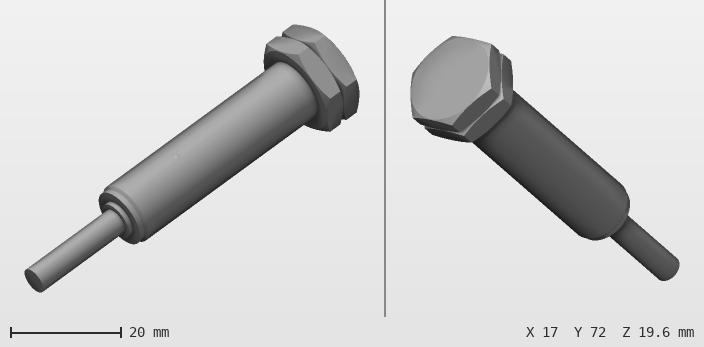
import cadquery as cq
import math

total_length = 72.0

nut_count = 2
nut_pair_length = 8.0
nut_width = nut_pair_length / nut_count
nut_across_flats = 17.0
nut_across_corners = nut_across_flats / math.cos(math.radians(30))
nut_face_radius = 8.35
nut_chamfer_angle = 27.0

body_radius = 6.01
end_ring_radius = 5.55
end_ring_length = 1.1
shoulder_length = 0.5
collar_radius = 3.6
collar_length = 0.9
cable_radius = 2.5
cable_length = 20.0

indicator_diameter = 1.0
indicator_rise = 0.1
indicator_from_cable_end = 35.1

back_y = total_length / 2
cable_end_y = -total_length / 2
collar_y = cable_end_y + cable_length
end_ring_y = collar_y + collar_length
shoulder_y = end_ring_y + end_ring_length
body_y = shoulder_y + shoulder_length


def make_barrel():
    """Cable, collar, end ring and body as one revolved profile."""
    return (
        cq.Workplane("XY")
        .moveTo(0, cable_end_y)
        .lineTo(cable_radius, cable_end_y)
        .lineTo(cable_radius, collar_y)
        .lineTo(collar_radius, collar_y)
        .lineTo(collar_radius, end_ring_y)
        .lineTo(end_ring_radius, end_ring_y)
        .lineTo(end_ring_radius, shoulder_y)
        .lineTo(body_radius, body_y)
        .lineTo(body_radius, back_y)
        .lineTo(0, back_y)
        .close()
        .revolve(360, (0, 0, 0), (0, 1, 0))
    )


def make_nut(front_y):
    """Hex nut with corners on Z, its corners turned conical on both faces."""
    rear_y = front_y + nut_width
    corner_radius = nut_across_corners / 2
    chamfer_depth = (corner_radius - nut_face_radius) * math.tan(math.radians(nut_chamfer_angle))
    hexagon = (
        cq.Workplane("XZ", origin=(0, front_y, 0))
        .polygon(6, nut_across_corners)
        .extrude(-nut_width)
        .rotate((0, 0, 0), (0, 1, 0), 30)
    )
    turned_envelope = (
        cq.Workplane("XY")
        .moveTo(0, front_y)
        .lineTo(nut_face_radius, front_y)
        .lineTo(corner_radius, front_y + chamfer_depth)
        .lineTo(corner_radius, rear_y - chamfer_depth)
        .lineTo(nut_face_radius, rear_y)
        .lineTo(0, rear_y)
        .close()
        .revolve(360, (0, 0, 0), (0, 1, 0))
    )
    return hexagon.intersect(turned_envelope)


def make_indicator():
    """Spherical cap standing slightly proud of the top of the body."""
    indicator_y = cable_end_y + indicator_from_cable_end
    rim_radius = indicator_diameter / 2
    dome_radius = (rim_radius**2 + indicator_rise**2) / (2 * indicator_rise)
    dome_centre_z = body_radius + indicator_rise - dome_radius
    return cq.Workplane("XY", origin=(0, indicator_y, dome_centre_z)).sphere(dome_radius)


result = make_barrel()
for nut_index in range(nut_count):
    result = result.union(make_nut(back_y - (nut_index + 1) * nut_width))
result = result.union(make_indicator())